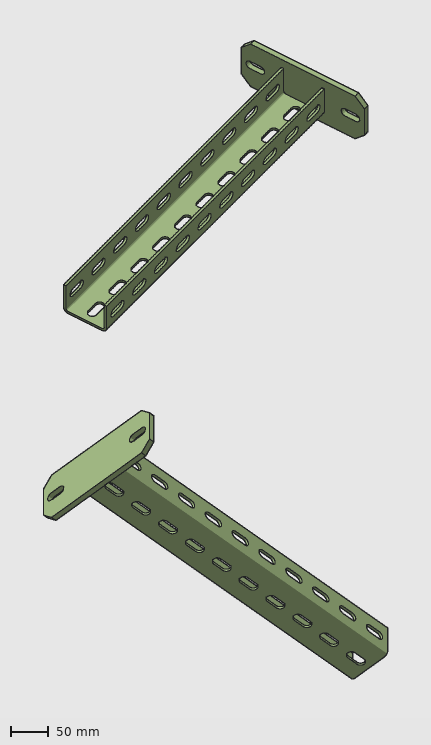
import cadquery as cq

overall_length = 508.0
plate_width = 200.0
plate_height = 80.0
plate_thickness = 8.0
corner_chamfer = 15.0
plate_slot_edge_distance = 23.0

channel_length = overall_length - plate_thickness
channel_width = 70.0
channel_height = 50.0
wall = 4.0
bend_outer_radius = 8.0
bend_inner_radius = bend_outer_radius - wall

slot_length = 30.0
slot_width = 13.0
slot_count = 10
slot_pitch = channel_length / slot_count


def make_plate():
    """Chamfered rectangular plate with a horizontal slot near each end."""
    plate = (
        cq.Workplane("XY")
        .box(plate_width, plate_thickness, plate_height, centered=(True, False, True))
        .edges("|Y")
        .chamfer(corner_chamfer)
    )
    slot_x = plate_width / 2 - plate_slot_edge_distance
    slots = (
        cq.Workplane("XZ")
        .pushPoints([(-slot_x, 0), (slot_x, 0)])
        .slot2D(slot_length, slot_width)
        .extrude(-plate_thickness)
    )
    return plate.cut(slots)


def rounded_block(width, bottom, top, radius):
    """Block as long as the channel, with its two lower long edges rounded."""
    return (
        cq.Workplane("XZ")
        .center(0, (bottom + top) / 2)
        .rect(width, top - bottom)
        .extrude(channel_length)
        .edges("|Y and <Z")
        .fillet(radius)
    )


def make_channel():
    """Bent U channel with a row of slots in the floor and in both side walls."""
    bottom = -channel_height / 2
    top = channel_height / 2
    outside = rounded_block(channel_width, bottom, top, bend_outer_radius)
    inside = rounded_block(channel_width - 2 * wall, bottom + wall, top, bend_inner_radius)
    channel = outside.cut(inside)

    slot_y = [-(i + 0.5) * slot_pitch for i in range(slot_count)]
    floor_slots = (
        cq.Workplane("XY", origin=(0, 0, bottom))
        .pushPoints([(0, y) for y in slot_y])
        .slot2D(slot_length, slot_width, angle=90)
        .extrude(wall)
    )
    side_slots = (
        cq.Workplane("YZ")
        .pushPoints([(y, 0) for y in slot_y])
        .slot2D(slot_length, slot_width)
        .extrude(channel_width / 2, both=True)
    )
    return channel.cut(floor_slots).cut(side_slots)


plate = make_plate()
channel = make_channel()

result = cq.Compound.makeCompound([plate.solids().val(), channel.solids().val()])